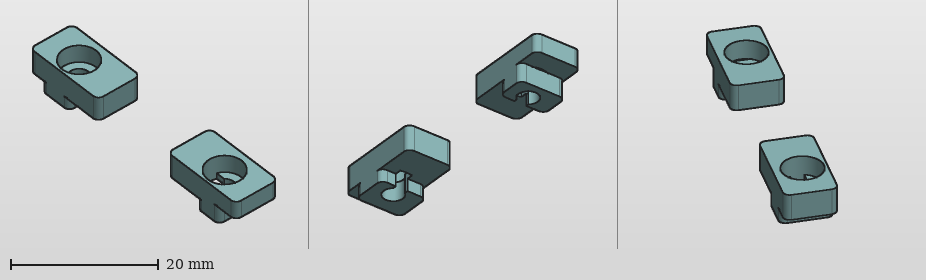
import cadquery as cq

total_length = 42.65
width = 7.6
height = 6.0

plate_length = 14.05
plate_thickness = 4.0
corner_radius = 1.0
plate_bottom = height - plate_thickness

counterbore_diameter = 6.0
counterbore_depth = 3.0
screw_hole_diameter = 3.25
slot_width = 2.0
seat_level = height - counterbore_depth
left_screw_x = 6.2
right_screw_x = 36.37
screw_y = -0.35

left_stem_start = 2.4
left_stem_end = 8.05
right_stem_start = 34.6
right_stem_end = 39.2


def rounded_block(x_start, x_end, z_bottom, z_top):
    """Full-width block with rounded vertical edges."""
    length = x_end - x_start
    thickness = z_top - z_bottom
    return (
        cq.Workplane("XY", origin=((x_start + x_end) / 2, 0, z_bottom))
        .rect(length, width)
        .extrude(thickness)
        .edges("|Z")
        .fillet(corner_radius)
    )


def screw_seat(screw_x, slot_direction):
    """Counterbore, through hole and a through slot that stops at the counterbore wall."""
    axis = cq.Workplane("XY").center(screw_x, screw_y)
    bore = axis.circle(counterbore_diameter / 2).extrude(height)
    counterbore = axis.workplane(offset=seat_level).circle(counterbore_diameter / 2).extrude(counterbore_depth)
    hole = axis.circle(screw_hole_diameter / 2).extrude(height)
    slot_length = counterbore_diameter / 2
    slot = (
        axis.center(slot_direction * slot_length / 2, 0)
        .rect(slot_length, slot_width)
        .extrude(height)
        .intersect(bore)
    )
    return counterbore.union(hole).union(slot)


def make_left_clamp():
    plate = rounded_block(0, plate_length, plate_bottom, height)
    stem = rounded_block(left_stem_start, left_stem_end, 0, height)
    return plate.union(stem).cut(screw_seat(left_screw_x, 1))


def make_right_clamp():
    plate_start = total_length - plate_length
    plate = rounded_block(plate_start, total_length, plate_bottom, height)
    end_relief = (
        cq.Workplane("XY")
        .box(total_length - right_stem_start, width, seat_level, centered=False)
        .translate((right_stem_start, -width / 2, 0))
    )
    stem = rounded_block(right_stem_start, right_stem_end, 0, seat_level)
    shoulder = (
        cq.Workplane("XY")
        .box(corner_radius, width, seat_level - plate_bottom, centered=False)
        .translate((right_stem_start, -width / 2, plate_bottom))
    )
    body = plate.cut(end_relief).union(stem).union(shoulder)
    return body.cut(screw_seat(right_screw_x, -1))


left_clamp = make_left_clamp()
right_clamp = make_right_clamp()

result = cq.Compound.makeCompound([left_clamp.val(), right_clamp.val()])